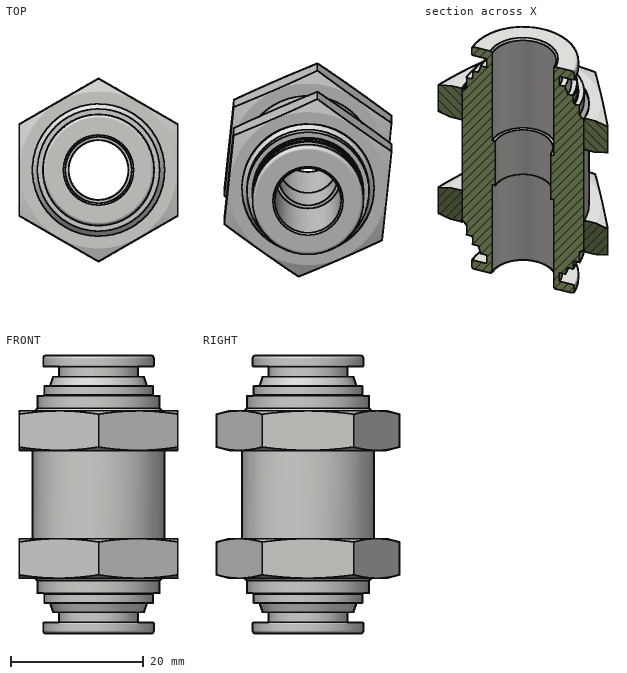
import cadquery as cq
import math

TOTAL_LENGTH = 42.1
HALF_LENGTH = TOTAL_LENGTH / 2

BARREL_DIAMETER = 20.0
SHOULDER_DIAMETER = 18.5
STEP_DIAMETER = 16.5
CONE_BASE_DIAMETER = 14.7
CONE_TIP_DIAMETER = 13.75
NECK_DIAMETER = 12.0
FLANGE_DIAMETER = 16.8

FLANGE_THICKNESS = 1.73
CONE_TIP_DEPTH = 3.25
STEP_DEPTH = 4.6
SHOULDER_DEPTH = 6.15
BARREL_CHAMFER_DEPTH = 8.0

FLANGE_OUTER_FILLET = 0.5
FLANGE_INNER_FILLET = 0.25
STEP_TOP_CHAMFER = 0.13
STEP_ROOT_CHAMFER = 0.15

PASSAGE_DIAMETER = 9.0
SOCKET_DIAMETER = 10.0
SOCKET_DEPTH = 16.85
SOCKET_CHAMFER = 0.3

NUT_ACROSS_FLATS = 24.0
NUT_ACROSS_CORNERS = NUT_ACROSS_FLATS / math.cos(math.radians(30))
NUT_THICKNESS = 6.0
NUT_DEPTH = 8.38
NUT_FACE_DIAMETER = 23.75
NUT_CHAMFER_ANGLE = 15.0


def make_body_half():
    """Upper half of the body, revolved from its outer and bore profile."""
    top = HALF_LENGTH
    barrel_radius = BARREL_DIAMETER / 2
    shoulder_radius = SHOULDER_DIAMETER / 2
    step_radius = STEP_DIAMETER / 2
    flange_radius = FLANGE_DIAMETER / 2
    flange_base = top - FLANGE_THICKNESS
    socket_radius = SOCKET_DIAMETER / 2
    barrel_top = top - BARREL_CHAMFER_DEPTH - (barrel_radius - shoulder_radius)
    arc_inset = 1 - math.sqrt(0.5)
    outer_inset = FLANGE_OUTER_FILLET * arc_inset
    inner_inset = FLANGE_INNER_FILLET * arc_inset
    profile = (
        cq.Workplane("XZ")
        .moveTo(PASSAGE_DIAMETER / 2, 0)
        .lineTo(barrel_radius, 0)
        .lineTo(barrel_radius, barrel_top)
        .lineTo(shoulder_radius, top - BARREL_CHAMFER_DEPTH)
        .lineTo(shoulder_radius, top - SHOULDER_DEPTH)
        .lineTo(step_radius + STEP_ROOT_CHAMFER, top - SHOULDER_DEPTH)
        .lineTo(step_radius, top - SHOULDER_DEPTH + STEP_ROOT_CHAMFER)
        .lineTo(step_radius, top - STEP_DEPTH - STEP_TOP_CHAMFER)
        .lineTo(step_radius - STEP_TOP_CHAMFER, top - STEP_DEPTH)
        .lineTo(CONE_BASE_DIAMETER / 2, top - STEP_DEPTH)
        .lineTo(CONE_TIP_DIAMETER / 2, top - CONE_TIP_DEPTH)
        .lineTo(NECK_DIAMETER / 2, top - CONE_TIP_DEPTH)
        .lineTo(NECK_DIAMETER / 2, flange_base)
        .lineTo(flange_radius - FLANGE_INNER_FILLET, flange_base)
        .threePointArc(
            (flange_radius - inner_inset, flange_base + inner_inset),
            (flange_radius, flange_base + FLANGE_INNER_FILLET),
        )
        .lineTo(flange_radius, top - FLANGE_OUTER_FILLET)
        .threePointArc(
            (flange_radius - outer_inset, top - outer_inset),
            (flange_radius - FLANGE_OUTER_FILLET, top),
        )
        .lineTo(socket_radius + SOCKET_CHAMFER, top)
        .lineTo(socket_radius, top - SOCKET_CHAMFER)
        .lineTo(socket_radius, top - SOCKET_DEPTH)
        .lineTo(PASSAGE_DIAMETER / 2, top - SOCKET_DEPTH)
        .close()
    )
    return profile.revolve(360, (0, 0, 0), (0, 1, 0))


def make_body():
    """Whole tube body, symmetric about its middle plane."""
    half = make_body_half()
    return half.union(half.rotate((0, 0, 0), (1, 0, 0), 180)).clean()


def make_nut(center_z):
    """Hexagon nut with corners on the Y axis, chamfered on both faces."""
    half_thickness = NUT_THICKNESS / 2
    face_radius = NUT_FACE_DIAMETER / 2
    corner_radius = NUT_ACROSS_CORNERS / 2
    corner_drop = (corner_radius - face_radius) * math.tan(math.radians(NUT_CHAMFER_ANGLE))
    hexagon = (
        cq.Workplane("XY")
        .polygon(6, NUT_ACROSS_CORNERS)
        .extrude(half_thickness, both=True)
        .rotate((0, 0, 0), (0, 0, 1), 90)
    )
    chamfer_envelope = (
        cq.Workplane("XZ")
        .moveTo(BARREL_DIAMETER / 2, -half_thickness)
        .lineTo(face_radius, -half_thickness)
        .lineTo(corner_radius, -half_thickness + corner_drop)
        .lineTo(corner_radius, half_thickness - corner_drop)
        .lineTo(face_radius, half_thickness)
        .lineTo(BARREL_DIAMETER / 2, half_thickness)
        .close()
        .revolve(360, (0, 0, 0), (0, 1, 0))
    )
    return hexagon.intersect(chamfer_envelope).translate((0, 0, center_z))


body = make_body()

nut_height = HALF_LENGTH - NUT_DEPTH - NUT_THICKNESS / 2
nuts = [make_nut(side * nut_height) for side in (1, -1)]

result = cq.Compound.makeCompound([body.val(), *[nut.val() for nut in nuts]])